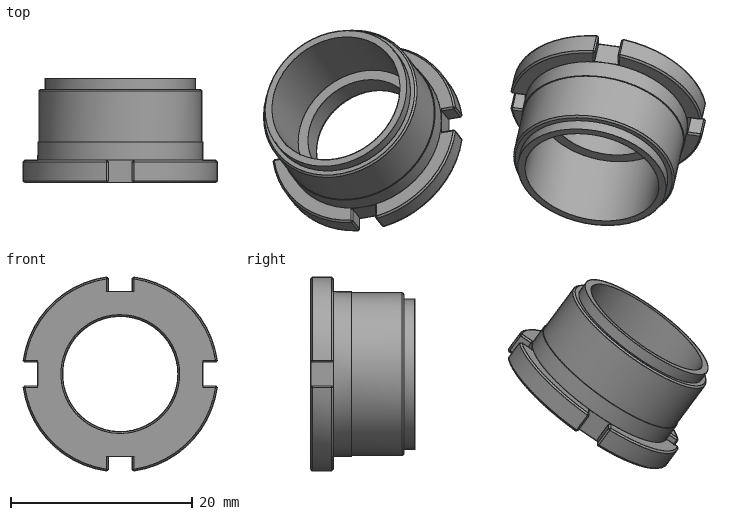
import cadquery as cq

flange_diameter = 21.6
flange_thickness = 2.5
shoulder_diameter = 18.2
shoulder_end = 4.5
body_diameter = 18.0
body_end = 10.3
spigot_diameter = 16.6
total_length = 11.5

bore_diameter = 12.7
counterbore_diameter = 15.0
counterbore_start = 3.0

edge_chamfer = 0.2
slot_count = 4
slot_width = 2.6
slot_floor_radius = shoulder_diameter / 2


def cylinder(diameter, start, end):
    """Solid cylinder on the Y axis, spanning start to end along Y."""
    base = cq.Workplane("XZ", origin=(0, start, 0))
    return base.circle(diameter / 2).extrude(start - end)


def slot_cutter(angle):
    """Block that clears one spanner slot, at the given angle around Y."""
    height = flange_diameter / 2 - slot_floor_radius
    block = cq.Workplane("XY").box(slot_width, flange_thickness, height, centered=(True, False, False))
    return block.translate((0, 0, slot_floor_radius)).rotate((0, 0, 0), (0, 1, 0), angle)


def slotted_flange():
    """Flange disc with flat-bottomed spanner slots, edges still sharp."""
    flange = cylinder(flange_diameter, 0, flange_thickness)
    for index in range(slot_count):
        flange = flange.cut(slot_cutter(index * 360 / slot_count))
    return flange


def lug_edges(flange):
    """Edges of the lugs: those whose midpoint lies outside the circle through the slot floor corners."""
    floor_corner_radius = (slot_floor_radius**2 + (slot_width / 2) ** 2) ** 0.5

    def is_lug_edge(edge):
        middle = edge.positionAt(0.5)
        return (middle.x**2 + middle.z**2) ** 0.5 > floor_corner_radius + edge_chamfer

    return flange.newObject([edge for edge in flange.edges().vals() if is_lug_edge(edge)])


def stepped_barrel():
    """Shoulder, body with a chamfered rear edge, and plain spigot."""
    shoulder = cylinder(shoulder_diameter, 0, shoulder_end)
    body = cylinder(body_diameter, 0, body_end).faces(">Y").chamfer(edge_chamfer)
    spigot = cylinder(spigot_diameter, 0, total_length)
    return shoulder.union(body).union(spigot)


def stepped_bore():
    """Cutter for the through bore: chamfered mouth, then bore, then counterbore open at the rear."""
    bore_radius = bore_diameter / 2
    counterbore_radius = counterbore_diameter / 2
    half_section = (
        cq.Workplane("XY")
        .lineTo(bore_radius + edge_chamfer, 0)
        .lineTo(bore_radius, edge_chamfer)
        .lineTo(bore_radius, counterbore_start)
        .lineTo(counterbore_radius, counterbore_start)
        .lineTo(counterbore_radius, total_length)
        .lineTo(0, total_length)
        .close()
    )
    return half_section.revolve(360, (0, 0, 0), (0, 1, 0))


flange = lug_edges(slotted_flange()).chamfer(edge_chamfer)
result = flange.union(stepped_barrel()).cut(stepped_bore())